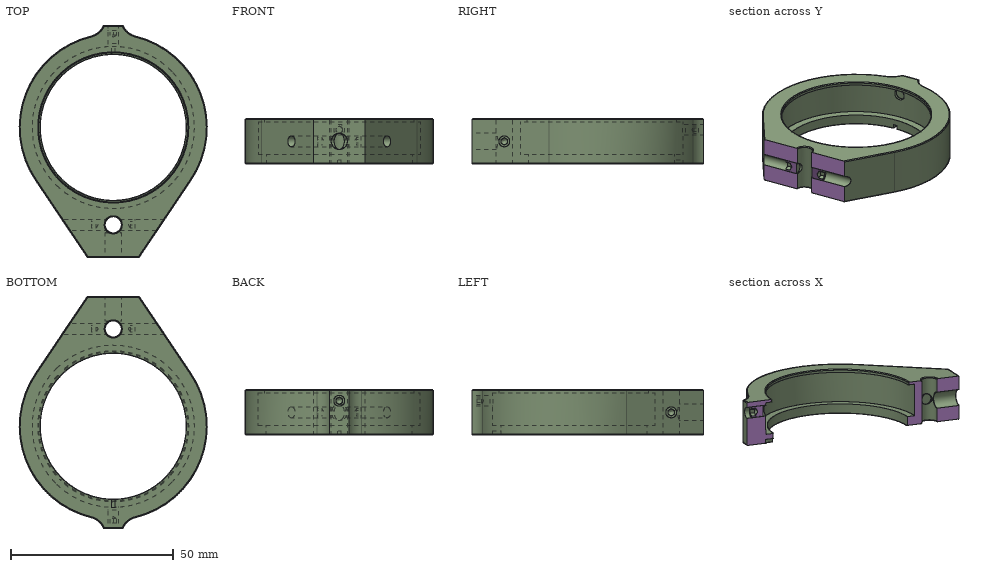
import cadquery as cq
import math

overall_length = 71.5
thickness = 14.0
ring_diameter = 58.0
edge_chamfer = 0.3

lip_radius = 22.5
lip_height = 3.0
recess_radius = 25.0
mouth_radius = 23.0
mouth_height = 1.0
mouth_chamfer = 0.3

foot_y = -40.05
foot_half_width = 8.0

tab_y = overall_length + foot_y
tab_half_width = 3.0
tab_fillet = 5.7

post_y = -30.0
post_diameter = 5.0
post_chamfer = 0.3
drill_diameter = 5.0
drill_point_angle = 118.0

screw_diameter = 3.35
screw_length = 4.0
socket_width = 2.0
socket_depth = 1.4
post_screw_gap = 0.2
tab_screw_z = thickness - 3.4
tab_screw_recess = 0.85

slot_width = 1.2
slot_height = 1.2

mid_z = thickness / 2
ring_radius = ring_diameter / 2
post_radius = post_diameter / 2


def make_tab():
    """Tab whose sides are concave arcs from its corners, tangent to the ring."""
    corner_distance = math.hypot(tab_half_width, tab_y)
    center_distance = ring_radius + tab_fillet
    corner_angle = math.atan2(tab_y, tab_half_width)
    center_offset = math.acos(
        (center_distance**2 + corner_distance**2 - tab_fillet**2) / (2 * center_distance * corner_distance)
    )
    center_angle = corner_angle - center_offset
    center = cq.Vector(center_distance * math.cos(center_angle), center_distance * math.sin(center_angle))
    touch = center * (ring_radius / center_distance)
    corner = cq.Vector(tab_half_width, tab_y)
    chord_middle = (corner + touch) / 2
    arc_middle = center + (chord_middle - center).normalized() * tab_fillet
    return (
        cq.Workplane()
        .moveTo(-corner.x, corner.y)
        .lineTo(corner.x, corner.y)
        .threePointArc((arc_middle.x, arc_middle.y), (touch.x, touch.y))
        .lineTo(-touch.x, touch.y)
        .threePointArc((-arc_middle.x, arc_middle.y), (-corner.x, corner.y))
        .close()
        .extrude(thickness)
    )


def make_blank():
    """Ring, foot and tab as one plate with chamfered rims."""
    ring = cq.Workplane().circle(ring_radius).extrude(thickness)

    corner_distance = math.hypot(foot_half_width, foot_y)
    corner_angle = math.atan2(foot_y, foot_half_width)
    touch_angle = corner_angle + math.acos(ring_radius / corner_distance)
    touch_x = ring_radius * math.cos(touch_angle)
    touch_y = ring_radius * math.sin(touch_angle)
    foot = (
        cq.Workplane()
        .polyline([
            (-foot_half_width, foot_y),
            (foot_half_width, foot_y),
            (touch_x, touch_y),
            (-touch_x, touch_y),
        ])
        .close()
        .extrude(thickness)
    )

    blank = ring.union(foot).union(make_tab())
    return blank.faces("|Z").edges().chamfer(edge_chamfer)


def bore_cutter():
    """Space inside the ring, as a solid of revolution about Z."""
    mouth_bottom = thickness - mouth_height
    chamfer_bottom = thickness - mouth_chamfer
    return (
        cq.Workplane("XZ")
        .polyline([
            (0, 0),
            (lip_radius, 0),
            (lip_radius, lip_height),
            (recess_radius, lip_height),
            (recess_radius, mouth_bottom),
            (mouth_radius, mouth_bottom),
            (mouth_radius, chamfer_bottom),
            (mouth_radius + mouth_chamfer, thickness),
            (0, thickness),
        ])
        .close()
        .revolve(360, (0, 0), (0, 1))
    )


def post_hole_cutter():
    """Through hole along Z, chamfered at both ends."""
    rim_radius = post_radius + post_chamfer
    return (
        cq.Workplane("XZ", origin=(0, post_y, 0))
        .polyline([
            (0, 0),
            (rim_radius, 0),
            (post_radius, post_chamfer),
            (post_radius, thickness - post_chamfer),
            (rim_radius, thickness),
            (0, thickness),
        ])
        .close()
        .revolve(360, (0, 0), (0, 1))
    )


def foot_drill_cutter():
    """Hole along Y whose full diameter ends at the post hole, with a conical drill point beyond."""
    shoulder_y = post_y - post_radius
    drill_radius = drill_diameter / 2
    point_length = drill_radius / math.tan(math.radians(drill_point_angle / 2))
    return (
        cq.Workplane("XY", origin=(0, 0, mid_z))
        .polyline([
            (0, foot_y),
            (drill_radius, foot_y),
            (drill_radius, shoulder_y),
            (0, shoulder_y + point_length),
        ])
        .close()
        .revolve(360, (0, 0), (0, 1))
    )


def slot_cutter():
    """Slot under the lip, from the bore out to the recess radius."""
    return (
        cq.Workplane()
        .center(0, recess_radius / 2)
        .rect(slot_width, recess_radius)
        .extrude(slot_height)
    )


def screw_hole(start, direction, length):
    """Straight hole that a set screw fills."""
    return cq.Workplane(cq.Solid.makeCylinder(screw_diameter / 2, length, start, direction))


def make_housing():
    """Housing with its bore, holes and slot cut."""
    post_screw_start = cq.Vector(-ring_radius, post_y, mid_z)
    tab_screw_start = cq.Vector(0, lip_radius, tab_screw_z)
    return (
        make_blank()
        .cut(bore_cutter())
        .cut(post_hole_cutter())
        .cut(foot_drill_cutter())
        .cut(screw_hole(post_screw_start, cq.Vector(1, 0, 0), 2 * ring_radius))
        .cut(screw_hole(tab_screw_start, cq.Vector(0, 1, 0), tab_y - lip_radius))
        .cut(slot_cutter())
    )


def make_set_screw(tip, outward):
    """Set screw from its flat tip outward, with a drilled hexagon socket in the outer end."""
    head_plane = cq.Plane(tip + outward * screw_length, cq.Vector(0, 0, 1), outward)
    drill_radius = socket_width / 2
    socket_diagonal = socket_width / math.cos(math.pi / 6)
    cone_depth = drill_radius / math.tan(math.radians(drill_point_angle / 2))
    body = cq.Workplane(head_plane).circle(screw_diameter / 2).extrude(-screw_length)
    socket = cq.Workplane(head_plane).polygon(6, socket_diagonal).extrude(-socket_depth)
    cone_start = tip + outward * (screw_length - socket_depth)
    cone = cq.Solid.makeCone(drill_radius, 0, cone_depth, cone_start, outward * -1)
    return body.cut(socket).cut(cq.Workplane(cone))


housing = make_housing()

set_screws = []
for side in (-1, 1):
    post_tip = cq.Vector(side * (post_radius + post_screw_gap), post_y, mid_z)
    set_screws.append(make_set_screw(post_tip, cq.Vector(side, 0, 0)))
tab_tip = cq.Vector(0, recess_radius + tab_screw_recess, tab_screw_z)
set_screws.append(make_set_screw(tab_tip, cq.Vector(0, 1, 0)))

result = cq.Compound.makeCompound([housing.val(), *[screw.val() for screw in set_screws]])